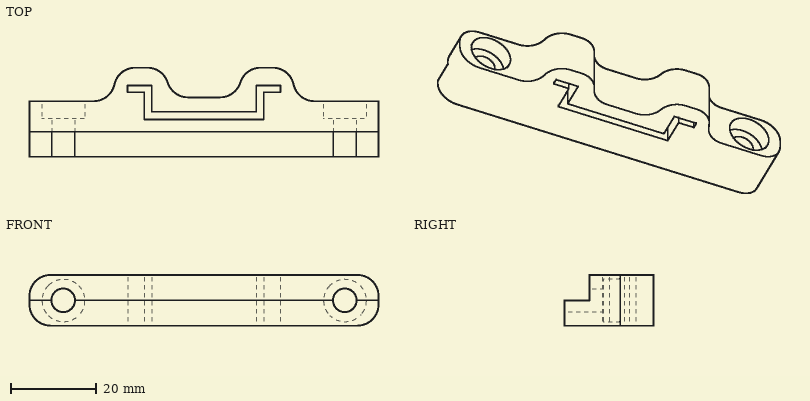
import cadquery as cq
import math

length = 82.0
height = 12.0
ledge_top = height / 2
ledge_depth = 5.9
bar_back = 13.1
corner_radius = 5.0

hump_top = 21.0
valley_back = 14.0
hump_radius = 5.0
outer_arc_x = 16.15
inner_arc_x = 13.3

slot_front = 8.85
slot_inner_back = 10.6
hook_front = 15.25
slot_back = 16.7
leg_outer_x = 14.0
leg_inner_x = 12.3
hook_tip_x = 17.95

hole_diameter = 5.5
hole_x = 33.05
counterbore_diameter = 10.0
counterbore_depth = 4.0


def reverse_curve(drop):
    """Height drop to the junction and half-width of two equal tangent arcs."""
    junction_drop = drop / 2
    half_width = math.sqrt(hump_radius**2 - (hump_radius - junction_drop) ** 2)
    return junction_drop, half_width


def mirrored(points):
    """Points reflected in the YZ plane, listed in reverse order."""
    return [(-x, y) for x, y in reversed(points)]


def make_bar_outline():
    outer_drop, outer_half = reverse_curve(hump_top - bar_back)
    inner_drop, inner_half = reverse_curve(hump_top - valley_back)
    outer_junction = (outer_arc_x + outer_half, hump_top - outer_drop)
    inner_junction = (inner_arc_x - inner_half, hump_top - inner_drop)
    outer_foot = (outer_arc_x + 2 * outer_half, bar_back)
    inner_foot = (inner_arc_x - 2 * inner_half, valley_back)
    right_hump = [
        outer_foot,
        outer_junction,
        (outer_arc_x, hump_top),
        (inner_arc_x, hump_top),
        inner_junction,
        inner_foot,
    ]

    outline = cq.Workplane("XY").moveTo(-length / 2, 0).lineTo(length / 2, 0)
    outline = outline.lineTo(length / 2, bar_back)
    for foot_1, junction_1, crest_1, crest_2, junction_2, foot_2 in (right_hump, mirrored(right_hump)):
        outline = outline.lineTo(*foot_1)
        outline = outline.tangentArcPoint(junction_1, relative=False)
        outline = outline.tangentArcPoint(crest_1, relative=False)
        outline = outline.lineTo(*crest_2)
        outline = outline.tangentArcPoint(junction_2, relative=False)
        outline = outline.tangentArcPoint(foot_2, relative=False)
    return outline.lineTo(-length / 2, bar_back).close()


def make_body():
    body = make_bar_outline().extrude(height)
    return body.edges("|Y").fillet(corner_radius)


def make_ledge_cut():
    cut_height = height - ledge_top
    cut_plane = cq.Workplane("XY", origin=(0, 0, ledge_top))
    return cut_plane.rect(length, 2 * ledge_depth).extrude(cut_height)


def make_slot():
    right_side = [
        (leg_outer_x, slot_front),
        (leg_outer_x, hook_front),
        (hook_tip_x, hook_front),
        (hook_tip_x, slot_back),
        (leg_inner_x, slot_back),
        (leg_inner_x, slot_inner_back),
    ]
    return cq.Workplane("XY").polyline(right_side + mirrored(right_side)).close().extrude(height)


def make_holes():
    centers = [(-hole_x, height / 2), (hole_x, height / 2)]
    counterbore_floor = bar_back - counterbore_depth
    bores = cq.Workplane("XZ").pushPoints(centers).circle(hole_diameter / 2).extrude(-bar_back)
    floor_plane = cq.Workplane("XZ", origin=(0, counterbore_floor, 0))
    counterbores = floor_plane.pushPoints(centers).circle(counterbore_diameter / 2).extrude(-counterbore_depth)
    return bores.union(counterbores)


result = make_body().cut(make_ledge_cut()).cut(make_slot()).cut(make_holes())